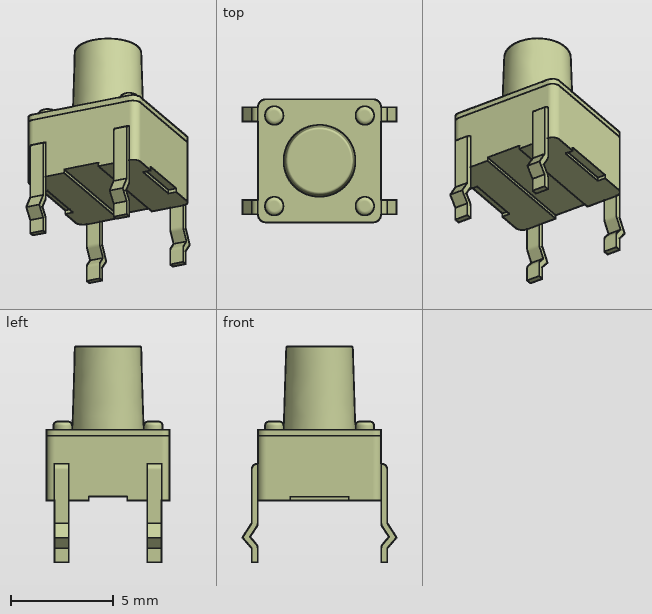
import cadquery as cq
import math

TOTAL_HEIGHT = 10.5
BODY_SIDE = 6.0
CORNER_RADIUS = 0.4
HOUSING_BOTTOM = 3.0
COVER_BOTTOM = 6.15
COVER_THICKNESS = 0.29
COVER_TOP = COVER_BOTTOM + COVER_THICKNESS

RECESS_HEIGHT = 0.19
SLOT_WIDTH = 1.85
NOTCH_WIDTH = 2.84
NOTCH_DEPTH = 0.42

BUTTON_BASE_DIAMETER = 3.5
BUTTON_TOP_DIAMETER = 3.24
BUTTON_EDGE_RADIUS = 0.1

RIVET_DIAMETER = 0.9
RIVET_HEIGHT = 0.4
RIVET_EDGE_RADIUS = 0.2
RIVET_SPACING = 4.4

LEG_SPAN = 7.5
LEG_THICKNESS = 0.3
LEG_WIDTH = 0.7
LEG_SPACING = 4.5
LEG_TOP = 4.8
LEG_SHOULDER_RADIUS = 0.29
LEG_INNER_X = BODY_SIDE / 2
LEG_OUTER_X = LEG_INNER_X + LEG_THICKNESS
KINK_TOP = 1.9
KINK_TIP = 1.21
KINK_BOTTOM = 0.69
KINK_INNER_X = 3.37
KINK_INNER_TIP = 1.24
KINK_REACH = LEG_SPAN / 2 - LEG_OUTER_X


def rounded_block(bottom, top):
    """Square block with rounded vertical edges."""
    block = cq.Workplane("XY").workplane(offset=bottom).rect(BODY_SIDE, BODY_SIDE).extrude(top - bottom)
    return block.edges("|Z").fillet(CORNER_RADIUS)


def make_button():
    """Tapered round button standing on the housing and passing through the cover."""
    shaft = cq.Workplane("XY").workplane(offset=COVER_BOTTOM).circle(BUTTON_BASE_DIAMETER / 2)
    shaft = shaft.extrude(COVER_THICKNESS)
    taper_height = TOTAL_HEIGHT - COVER_TOP
    taper_angle = math.degrees(math.atan((BUTTON_BASE_DIAMETER - BUTTON_TOP_DIAMETER) / 2 / taper_height))
    cap = cq.Workplane("XY").workplane(offset=COVER_TOP).circle(BUTTON_BASE_DIAMETER / 2)
    cap = cap.extrude(taper_height, taper=taper_angle)
    cap = cap.faces(">Z").edges().fillet(BUTTON_EDGE_RADIUS)
    return shaft.union(cap)


def make_rivets():
    """Four round-edged rivet heads whose shanks pass through the cover."""
    rivets = (
        cq.Workplane("XY")
        .workplane(offset=COVER_BOTTOM)
        .rect(RIVET_SPACING, RIVET_SPACING, forConstruction=True)
        .vertices()
        .circle(RIVET_DIAMETER / 2)
        .extrude(COVER_THICKNESS + RIVET_HEIGHT)
    )
    return rivets.faces(">Z").edges().fillet(RIVET_EDGE_RADIUS)


def make_recesses():
    """Slot along X and one notch at each Y edge, all cut from the underside."""
    recess_z = HOUSING_BOTTOM + RECESS_HEIGHT / 2
    recesses = cq.Workplane("XY").box(BODY_SIDE, SLOT_WIDTH, RECESS_HEIGHT).translate((0, 0, recess_z))
    for side in (-1, 1):
        notch = cq.Workplane("XY").box(NOTCH_WIDTH, NOTCH_DEPTH, RECESS_HEIGHT)
        notch_y = side * (BODY_SIDE - NOTCH_DEPTH) / 2
        recesses = recesses.add(notch.translate((0, notch_y, recess_z)))
    return recesses.combine()


def make_housing():
    """Housing block in one piece with the button and the rivets."""
    block = rounded_block(HOUSING_BOTTOM, COVER_BOTTOM).cut(make_recesses())
    return block.union(make_button()).union(make_rivets())


def make_cover():
    """Cover plate with clearance-free holes for the button and the rivets."""
    return rounded_block(COVER_BOTTOM, COVER_TOP).cut(make_button()).cut(make_rivets())


def make_leg():
    """Bent strip leg on the +X side, centred on Y = 0."""
    lean_above_tip = math.atan2(KINK_REACH, KINK_TOP - KINK_TIP)
    lean_below_tip = math.atan2(KINK_REACH, KINK_TIP - KINK_BOTTOM)
    upper_bend_z = KINK_TOP - LEG_THICKNESS * math.tan(lean_above_tip / 2)
    lower_bend_z = KINK_BOTTOM + LEG_THICKNESS * math.tan(lean_below_tip / 2)
    profile = [
        (LEG_INNER_X, 0),
        (LEG_OUTER_X, 0),
        (LEG_OUTER_X, KINK_BOTTOM),
        (LEG_SPAN / 2, KINK_TIP),
        (LEG_OUTER_X, KINK_TOP),
        (LEG_OUTER_X, LEG_TOP),
        (LEG_INNER_X, LEG_TOP),
        (LEG_INNER_X, upper_bend_z),
        (KINK_INNER_X, KINK_INNER_TIP),
        (LEG_INNER_X, lower_bend_z),
    ]
    leg = cq.Workplane("XZ").polyline(profile).close().extrude(LEG_WIDTH / 2, both=True)
    shoulder = cq.selectors.NearestToPointSelector((LEG_OUTER_X, 0, LEG_TOP))
    leg = leg.edges(shoulder).fillet(LEG_SHOULDER_RADIUS)
    for bend_z in (upper_bend_z, lower_bend_z):
        inner_bend = cq.selectors.NearestToPointSelector((LEG_INNER_X, 0, bend_z))
        leg = leg.edges(inner_bend).fillet(LEG_THICKNESS)
    return leg


def make_legs():
    """Two legs on each X side."""
    legs = []
    for turn in (0, 180):
        for side in (-1, 1):
            leg = make_leg().translate((0, side * LEG_SPACING / 2, 0))
            legs.append(leg.rotate((0, 0, 0), (0, 0, 1), turn).val())
    return legs


housing = make_housing()
cover = make_cover()
legs = make_legs()

result = cq.Compound.makeCompound([housing.val(), cover.val(), *legs])